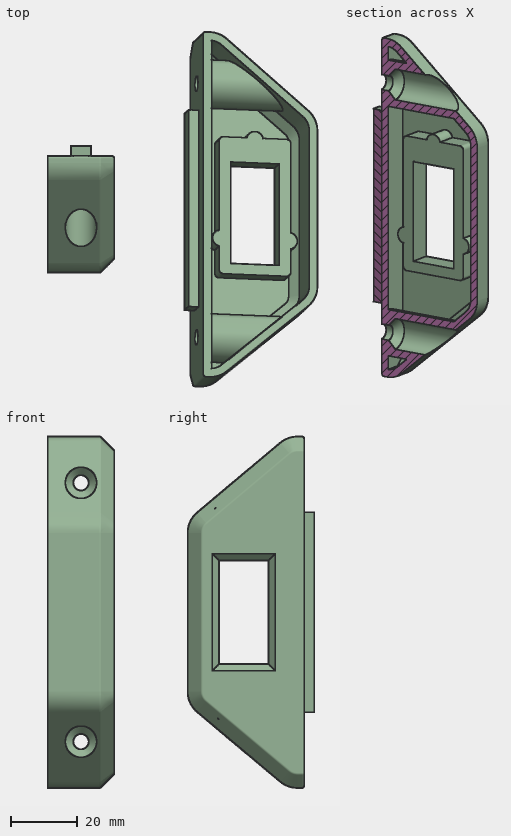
import cadquery as cq
import math


HEIGHT = 105.4
WIDTH = 20.0
DEPTH = 35.0
HALF_HEIGHT = HEIGHT / 2
MID_X = WIDTH / 2
WALL = 2.5

END_FLAT = 5.0
SLOPE_ANGLE = 40.0
CORNER_RADIUS = 8.0
BACK_EDGE_RADIUS = 0.7
WINDOW_FACE_CHAMFER = 4.2
CHAMFER_EDGE_RADIUS = 0.8

SCREW_Z = 38.8
BOSS_DIAMETER = 14.5
HEAD_DIAMETER = 9.4
SCREW_HOLE_DIAMETER = 4.5
SCREW_LAND = WALL

WINDOW_DEPTH_Y = 14.7
WINDOW_HEIGHT = 31.0
WINDOW_Y = -18.1
FRAME_X = 11.1
FRAME_DEPTH_Y = 21.9
FRAME_TOP = 23.1
FRAME_BOTTOM = -18.8
FRAME_CORNER_RADIUS = 1.3
LOBE_RADIUS = 2.5
LOBE_INSET = 0.5
SIDE_LOBE_Z = -7.9
WINDOW_FLARE = 2.0

BAR_WIDTH = 6.1
BAR_THICKNESS = 3.1
BAR_LENGTH = 60.0

FLOOR_X = WIDTH - WALL
EDGE_TOLERANCE = 0.01


def box(x_min, x_max, y_min, y_max, z_min, z_max):
    """Axis-aligned block between the given limits."""
    size = (x_max - x_min, y_max - y_min, z_max - z_min)
    return cq.Workplane("XY").box(*size, centered=False).translate((x_min, y_min, z_min))


def cylinder_along_y(diameter, x, z, y_min, y_max):
    """Cylinder parallel to Y between two Y positions."""
    circle = cq.Workplane("XZ", origin=(0, y_max, 0)).center(x, z).circle(diameter / 2)
    return circle.extrude(y_max - y_min)


def trapezoid_prism(inset, length):
    """Chamfered trapezoid prism, inset from the housing surface and running past the mounting face."""
    slope = math.radians(SLOPE_ANGLE)
    overrun = HEIGHT
    front_y = inset - DEPTH
    end_z = HALF_HEIGHT - inset
    end_y = inset * math.tan(slope / 2) - END_FLAT
    front_z = end_z - (end_y - front_y) * math.tan(slope)
    outline = [
        (overrun, end_z), (end_y, end_z), (front_y, front_z),
        (front_y, -front_z), (end_y, -end_z), (overrun, -end_z),
    ]
    prism = cq.Workplane("YZ").polyline(outline).close().extrude(length)
    corners = cq.selectors.BoxSelector((0, -HEIGHT, -HEIGHT), (WIDTH, 0, HEIGHT))
    rounded = prism.edges("|X").edges(corners).fillet(CORNER_RADIUS - inset)
    chamfer = WINDOW_FACE_CHAMFER - inset * (2 - math.sqrt(2))
    return rounded.faces(">X").edges("not >Y").chamfer(chamfer)


def outer_shape():
    """Solid housing block with softened chamfer edges and rounded back edges."""
    prism = trapezoid_prism(0, WIDTH)
    prism = prism.faces(">X").edges("not >Y").fillet(CHAMFER_EDGE_RADIUS)
    chamfer_start_x = WIDTH - WINDOW_FACE_CHAMFER
    chamfer_start = cq.selectors.BoxSelector(
        (chamfer_start_x - EDGE_TOLERANCE, -HEIGHT, -HEIGHT),
        (chamfer_start_x + EDGE_TOLERANCE, HEIGHT, HEIGHT),
    )
    prism = prism.edges(chamfer_start).fillet(CHAMFER_EDGE_RADIUS)
    envelope = box(0, WIDTH, -DEPTH, 0, -HALF_HEIGHT, HALF_HEIGHT)
    trimmed = prism.intersect(envelope)
    return trimmed.faces(">Y").edges("not <X").fillet(BACK_EDGE_RADIUS)


def cavity():
    """Inside space that leaves one wall thickness on every closed side."""
    envelope = box(0, FLOOR_X, -DEPTH, -WALL, -HALF_HEIGHT, HALF_HEIGHT)
    return trapezoid_prism(WALL, FLOOR_X).intersect(envelope)


def window_frame():
    """Lobed block around the window that rises from the window wall into the cavity."""
    frame_end_x = WIDTH - WINDOW_FLARE
    frame = box(
        FRAME_X, frame_end_x,
        WINDOW_Y - FRAME_DEPTH_Y / 2, WINDOW_Y + FRAME_DEPTH_Y / 2,
        FRAME_BOTTOM, FRAME_TOP,
    ).edges("|X").fillet(FRAME_CORNER_RADIUS)
    side_offset = FRAME_DEPTH_Y / 2 - LOBE_INSET
    lobe_centres = [
        (WINDOW_Y, FRAME_TOP - LOBE_INSET),
        (WINDOW_Y - side_offset, SIDE_LOBE_Z),
        (WINDOW_Y + side_offset, SIDE_LOBE_Z),
    ]
    lobes = cq.Workplane("YZ", origin=(FRAME_X, 0, 0)).pushPoints(lobe_centres)
    return frame.union(lobes.circle(LOBE_RADIUS).extrude(frame_end_x - FRAME_X))


def window_cut():
    """Rectangular window with a flare that widens to the window face."""
    window = cq.Workplane("YZ").center(WINDOW_Y, 0).rect(WINDOW_DEPTH_Y, WINDOW_HEIGHT).extrude(WIDTH)
    flare = (
        cq.Workplane("YZ", origin=(WIDTH, WINDOW_Y, 0))
        .rect(WINDOW_DEPTH_Y + 2 * WINDOW_FLARE, WINDOW_HEIGHT + 2 * WINDOW_FLARE)
        .workplane(offset=-WINDOW_FLARE)
        .rect(WINDOW_DEPTH_Y, WINDOW_HEIGHT)
        .loft(ruled=True)
    )
    return window.union(flare)


def screw_cut(z):
    """Screw hole with a conical seat and a head bore that opens on the slope."""
    cone_depth = (HEAD_DIAMETER - SCREW_HOLE_DIAMETER) / 2
    profile = [
        (0, 0), (SCREW_HOLE_DIAMETER / 2, 0), (SCREW_HOLE_DIAMETER / 2, -SCREW_LAND),
        (HEAD_DIAMETER / 2, -SCREW_LAND - cone_depth), (HEAD_DIAMETER / 2, -DEPTH), (0, -DEPTH),
    ]
    cut = cq.Workplane("XY").polyline(profile).close().revolve(360, (0, 0), (0, 1))
    return cut.translate((MID_X, 0, z))


def make_housing():
    """Open shell with the window frame and two screw bosses."""
    block = outer_shape()
    inside = window_frame()
    for z in (-SCREW_Z, SCREW_Z):
        inside = inside.union(cylinder_along_y(BOSS_DIAMETER, MID_X, z, -DEPTH, 0))
    shell = block.cut(cavity()).union(inside.intersect(block)).cut(window_cut())
    for z in (-SCREW_Z, SCREW_Z):
        shell = shell.cut(screw_cut(z))
    return shell.solids()


def make_mounting_bar():
    """Key bar centred on the mounting face."""
    return box(
        MID_X - BAR_WIDTH / 2, MID_X + BAR_WIDTH / 2,
        0, BAR_THICKNESS, -BAR_LENGTH / 2, BAR_LENGTH / 2,
    )


housing = make_housing()
mounting_bar = make_mounting_bar()
result = cq.Compound.makeCompound([housing.val(), mounting_bar.val()])